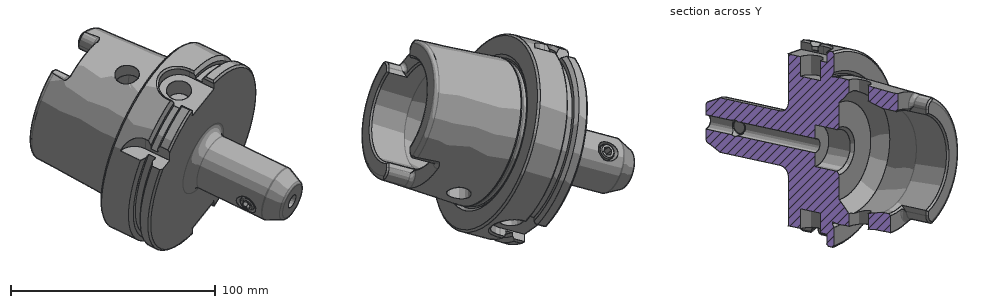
import cadquery as cq
import math

TOTAL_LENGTH = 130.0
FLANGE_START = 50.0
FLANGE_WIDTH = 28.7
FLANGE_END = FLANGE_START + FLANGE_WIDTH
NOSE_CONE_START = 121.2

SHANK_LARGE_RADIUS = 37.7
TAPER_SLOPE = 0.05
SHANK_END_ROUND = 2.0
RELIEF_START = 47.5
RELIEF_RAMP = 0.8
RELIEF_WIDTH = 0.9
RELIEF_RADIUS = 37.5
UNDERCUT_DEPTH = 1.0
UNDERCUT_INNER_RADIUS = 37.0
UNDERCUT_FLOOR_RADIUS = 38.0
UNDERCUT_RADIUS = 39.5
SHANK_SMALL_RADIUS = SHANK_LARGE_RADIUS - TAPER_SLOPE * RELIEF_START

FLANGE_RADIUS = 100.0 / 2
FLANGE_CHAMFER = 1.0
GROOVE_START = 66.5
GROOVE_END = 73.3
GROOVE_FLANK_RUN = 1.4
GROOVE_FLANK_DROP = 2.2
GROOVE_FLOOR_RADIUS = 45.9

NECK_RADIUS = 14.0
NECK_FILLET = 5.0
NOSE_RADIUS = 10.0
NOSE_EDGE_ROUND = 1.5
NECK_EDGE_ROUND = 0.8

EDGE_CHAMFER = 0.9
BORE_RADIUS = 26.4
BORE_LENGTH = 19.6
CLAMP_RADIUS = 31.5
CLAMP_END = 40.2
CAVITY_FLOOR_RADIUS = 24.8
CAVITY_FLOOR = CLAMP_END + CLAMP_RADIUS - CAVITY_FLOOR_RADIUS
TUBE_HOLE_RADIUS = 10.5
TUBE_HOLE_CHAMFER = 1.5
TUBE_HOLE_DEPTH = 15.0
TOOL_BORE_RADIUS = 3.5

NOTCH_HALF_WIDTH = 10.0
NOTCH_FLARE_RADIUS = 5.0
NOTCH_FLARE_TOP = 32.0
NOTCH_FLOOR_FILLET = 2.0
TOP_NOTCH_DEPTH = 10.3
BOTTOM_NOTCH_DEPTH = 15.0

ACCESS_HOLE_X = 34.8
ACCESS_HOLE_RADIUS = 6.0

KEYWAY_CENTRE_X = 64.7
KEYWAY_RADIUS = 10.0
KEYWAY_FLOOR = 44.0
KEYWAY_CHAMFER = 1.0
KEYWAY_HOLE_RADIUS = 6.1
KEYWAY_HOLE_DEPTH = 10.0
POCKET_WALL_Y = -31.3
POCKET_FLOOR_Z = 31.5

SCREW_X = 112.0
SCREW_RADIUS = 4.0
SCREW_FACE_Y = -13.8
SCREW_CHAMFER = 0.6
COUNTERSINK_RADIUS = 5.1
COUNTERSINK_HALF_ANGLE = 30.0
SOCKET_ACROSS_FLATS = 4.0
SOCKET_DEPTH = 5.0
SOCKET_TURN = 10.0


def revolve_about_x(outline):
    """Revolve a closed outline of (x, radius) about the X axis."""
    return outline.close().revolve(360, (0, 0, 0), (1, 0, 0))


def make_outer_shape():
    """Shank, flange and neck without any cavity."""
    groove_flank_radius = FLANGE_RADIUS - GROOVE_FLANK_DROP
    relief_floor_start = RELIEF_START + RELIEF_RAMP
    undercut_floor = FLANGE_START + UNDERCUT_DEPTH
    rim_radius = FLANGE_RADIUS - FLANGE_CHAMFER
    outline = (
        cq.Workplane("XY")
        .moveTo(0, 0)
        .lineTo(0, SHANK_SMALL_RADIUS)
        .lineTo(RELIEF_START, SHANK_LARGE_RADIUS)
        .lineTo(relief_floor_start, RELIEF_RADIUS)
        .lineTo(relief_floor_start + RELIEF_WIDTH, RELIEF_RADIUS)
        .lineTo(undercut_floor, UNDERCUT_INNER_RADIUS)
        .lineTo(undercut_floor, UNDERCUT_FLOOR_RADIUS)
        .lineTo(FLANGE_START, UNDERCUT_RADIUS)
        .lineTo(FLANGE_START, rim_radius)
        .lineTo(FLANGE_START + FLANGE_CHAMFER, FLANGE_RADIUS)
        .lineTo(GROOVE_START, FLANGE_RADIUS)
        .lineTo(GROOVE_START + GROOVE_FLANK_RUN, groove_flank_radius)
        .lineTo(GROOVE_START + GROOVE_FLANK_RUN, GROOVE_FLOOR_RADIUS)
        .lineTo(GROOVE_END - GROOVE_FLANK_RUN, GROOVE_FLOOR_RADIUS)
        .lineTo(GROOVE_END - GROOVE_FLANK_RUN, groove_flank_radius)
        .lineTo(GROOVE_END, FLANGE_RADIUS)
        .lineTo(FLANGE_END - FLANGE_CHAMFER, FLANGE_RADIUS)
        .lineTo(FLANGE_END, rim_radius)
        .lineTo(FLANGE_END, NECK_RADIUS)
        .lineTo(NOSE_CONE_START, NECK_RADIUS)
        .lineTo(TOTAL_LENGTH, NOSE_RADIUS)
        .lineTo(TOTAL_LENGTH, 0)
    )
    body = revolve_about_x(outline)
    body = round_ring(body, 0, SHANK_SMALL_RADIUS, SHANK_END_ROUND)
    body = round_ring(body, FLANGE_END, NECK_RADIUS, NECK_FILLET)
    body = round_ring(body, NOSE_CONE_START, NECK_RADIUS, NECK_EDGE_ROUND)
    return round_ring(body, TOTAL_LENGTH, NOSE_RADIUS, NOSE_EDGE_ROUND)


def round_ring(body, x, radius, fillet):
    """Fillet the circular edge that passes through the given axial position and radius."""
    margin = 0.06
    ring = cq.selectors.BoxSelector(
        (x - margin, -radius - margin, -radius - margin),
        (x + margin, radius + margin, radius + margin),
        boundingbox=True,
    )
    core = cq.selectors.BoxSelector(
        (x - margin, margin - radius, margin - radius),
        (x + margin, radius - margin, radius - margin),
        boundingbox=True,
    )
    return body.edges(ring - core).fillet(fillet)


def make_cavity():
    """Clamping cavity, coolant tube hole and tool bore along the axis."""
    tube_hole_end = CAVITY_FLOOR + TUBE_HOLE_DEPTH
    return revolve_about_x(
        cq.Workplane("XY")
        .moveTo(0, 0)
        .lineTo(0, BORE_RADIUS + EDGE_CHAMFER)
        .lineTo(EDGE_CHAMFER, BORE_RADIUS)
        .lineTo(BORE_LENGTH, BORE_RADIUS)
        .lineTo(CLAMP_END, CLAMP_RADIUS)
        .lineTo(CAVITY_FLOOR, CAVITY_FLOOR_RADIUS)
        .lineTo(CAVITY_FLOOR, TUBE_HOLE_RADIUS + TUBE_HOLE_CHAMFER)
        .lineTo(CAVITY_FLOOR + TUBE_HOLE_CHAMFER, TUBE_HOLE_RADIUS)
        .lineTo(tube_hole_end, TUBE_HOLE_RADIUS)
        .lineTo(tube_hole_end, TOOL_BORE_RADIUS)
        .lineTo(TOTAL_LENGTH, TOOL_BORE_RADIUS)
        .lineTo(TOTAL_LENGTH, 0)
    )


def notch_section(x):
    """Notch cross-section: straight flanks that flare outwards through a quarter round."""
    inner_z = BORE_RADIUS / 2
    outer_z = SHANK_LARGE_RADIUS + NOTCH_FLARE_RADIUS
    flare_start_z = NOTCH_FLARE_TOP - NOTCH_FLARE_RADIUS
    flare_end_y = NOTCH_HALF_WIDTH + NOTCH_FLARE_RADIUS
    outer_y = SHANK_LARGE_RADIUS / 2
    arc_inset = NOTCH_FLARE_RADIUS * math.sqrt(0.5)
    arc_middle = (flare_end_y - arc_inset, flare_start_z + arc_inset)
    return (
        cq.Workplane("YZ", origin=(x, 0, 0))
        .moveTo(-NOTCH_HALF_WIDTH, inner_z)
        .lineTo(NOTCH_HALF_WIDTH, inner_z)
        .lineTo(NOTCH_HALF_WIDTH, flare_start_z)
        .threePointArc(arc_middle, (flare_end_y, NOTCH_FLARE_TOP))
        .lineTo(outer_y, NOTCH_FLARE_TOP)
        .lineTo(outer_y, outer_z)
        .lineTo(-outer_y, outer_z)
        .lineTo(-outer_y, NOTCH_FLARE_TOP)
        .lineTo(-flare_end_y, NOTCH_FLARE_TOP)
        .threePointArc((-arc_middle[0], arc_middle[1]), (-NOTCH_HALF_WIDTH, flare_start_z))
        .close()
    )


def make_notch(depth):
    """Cutter for one drive notch on the +Z side, with its bevelled rims."""
    slot = notch_section(0).extrude(depth).faces(">X").edges().fillet(NOTCH_FLOOR_FILLET)
    mouth = notch_section(EDGE_CHAMFER).extrude(-EDGE_CHAMFER, taper=-45)
    rim_bevel = revolve_about_x(
        cq.Workplane("XY")
        .moveTo(0, 0)
        .lineTo(0, BORE_RADIUS + EDGE_CHAMFER + depth)
        .lineTo(depth + EDGE_CHAMFER, BORE_RADIUS)
        .lineTo(depth + EDGE_CHAMFER, 0)
    )
    flank_limits = cq.Workplane("XY").box(
        2 * (depth + EDGE_CHAMFER),
        2 * NOTCH_HALF_WIDTH,
        SHANK_LARGE_RADIUS,
        centered=(True, True, False),
    )
    return slot.union(mouth).union(rim_bevel.intersect(flank_limits))


def make_keyway():
    """Cutter for one round-ended keyway on the +Z side of the flange, with its blind hole."""
    slot = (
        cq.Workplane("XY", origin=(0, 0, KEYWAY_FLOOR))
        .moveTo(FLANGE_END, KEYWAY_RADIUS)
        .lineTo(KEYWAY_CENTRE_X, KEYWAY_RADIUS)
        .threePointArc((KEYWAY_CENTRE_X - KEYWAY_RADIUS, 0), (KEYWAY_CENTRE_X, -KEYWAY_RADIUS))
        .lineTo(FLANGE_END, -KEYWAY_RADIUS)
        .close()
        .extrude(FLANGE_RADIUS - KEYWAY_FLOOR)
    )
    hole = (
        cq.Workplane("XY", origin=(KEYWAY_CENTRE_X, 0, KEYWAY_FLOOR))
        .circle(KEYWAY_HOLE_RADIUS)
        .extrude(-KEYWAY_HOLE_DEPTH)
    )
    return slot.union(hole)


def cut_keyways(body):
    """Cut the keyways on the +Z and -Z sides and chamfer their rims on the flange surface."""
    keyway = make_keyway()
    body = body.cut(keyway).cut(keyway.mirror("XY"))
    margin = 0.1
    half_width = KEYWAY_RADIUS + margin
    rim_start = KEYWAY_CENTRE_X - half_width
    rim_end = FLANGE_END - FLANGE_CHAMFER + margin
    rim_bottom = math.sqrt(FLANGE_RADIUS**2 - half_width**2)
    rim_top = FLANGE_RADIUS + margin
    top_rim = cq.selectors.BoxSelector(
        (rim_start, -half_width, rim_bottom), (rim_end, half_width, rim_top), boundingbox=True
    )
    bottom_rim = cq.selectors.BoxSelector(
        (rim_start, -half_width, -rim_top), (rim_end, half_width, -rim_bottom), boundingbox=True
    )
    return body.edges(top_rim + bottom_rim).chamfer(KEYWAY_CHAMFER)


def make_pocket():
    """Cutter for the square-shouldered pocket at the (-Y, +Z) corner of the flange."""
    return (
        cq.Workplane("XY", origin=(0, 0, POCKET_FLOOR_Z))
        .moveTo(FLANGE_END, POCKET_WALL_Y)
        .lineTo(KEYWAY_CENTRE_X, POCKET_WALL_Y)
        .threePointArc(
            (KEYWAY_CENTRE_X - KEYWAY_RADIUS, POCKET_WALL_Y - KEYWAY_RADIUS),
            (KEYWAY_CENTRE_X, POCKET_WALL_Y - 2 * KEYWAY_RADIUS),
        )
        .lineTo(FLANGE_END, POCKET_WALL_Y - 2 * KEYWAY_RADIUS)
        .close()
        .extrude(FLANGE_RADIUS - POCKET_FLOOR_Z)
    )


def make_access_holes():
    """Radial hole through both sides of the shank wall."""
    return (
        cq.Workplane("XY", origin=(ACCESS_HOLE_X, 0, 0))
        .circle(ACCESS_HOLE_RADIUS)
        .extrude(SHANK_LARGE_RADIUS, both=True)
    )


def make_screw_hole():
    """Countersunk cross hole through the neck."""
    hole = (
        cq.Workplane("XZ", origin=(SCREW_X, 0, 0))
        .circle(SCREW_RADIUS)
        .extrude(NECK_RADIUS, both=True)
    )
    sink_widening = COUNTERSINK_RADIUS - SCREW_RADIUS
    sink_height = sink_widening / math.tan(math.radians(COUNTERSINK_HALF_ANGLE))
    surface_y = -math.sqrt(NECK_RADIUS**2 - COUNTERSINK_RADIUS**2)
    countersink = cq.Solid.makeCone(
        SCREW_RADIUS,
        SCREW_RADIUS + 2 * sink_widening,
        2 * sink_height,
        cq.Vector(SCREW_X, surface_y + sink_height, 0),
        cq.Vector(0, -1, 0),
    )
    return hole.union(cq.Workplane(countersink))


def make_holder():
    holder = cut_keyways(make_outer_shape())
    holder = holder.cut(make_cavity())
    holder = holder.cut(make_notch(TOP_NOTCH_DEPTH))
    holder = holder.cut(make_notch(BOTTOM_NOTCH_DEPTH).mirror("XY"))
    holder = holder.cut(make_access_holes())
    holder = holder.cut(make_pocket())
    return holder.cut(make_screw_hole())


def make_screw():
    """Socket set screw that ends flush with the tool bore."""
    length = -SCREW_FACE_Y - TOOL_BORE_RADIUS
    socket_corner_diameter = SOCKET_ACROSS_FLATS / math.cos(math.radians(30))
    body = (
        cq.Workplane("XZ", origin=(SCREW_X, -TOOL_BORE_RADIUS, 0))
        .circle(SCREW_RADIUS)
        .extrude(length)
        .faces("<Y or >Y")
        .chamfer(SCREW_CHAMFER)
    )
    socket = (
        cq.Workplane("XZ", origin=(SCREW_X, SCREW_FACE_Y, 0))
        .transformed(rotate=(0, 0, 90 - SOCKET_TURN))
        .polygon(6, socket_corner_diameter)
        .extrude(-SOCKET_DEPTH)
    )
    return body.cut(socket)


holder = make_holder()
screw = make_screw()

result = cq.Compound.makeCompound([holder.val(), screw.val()])